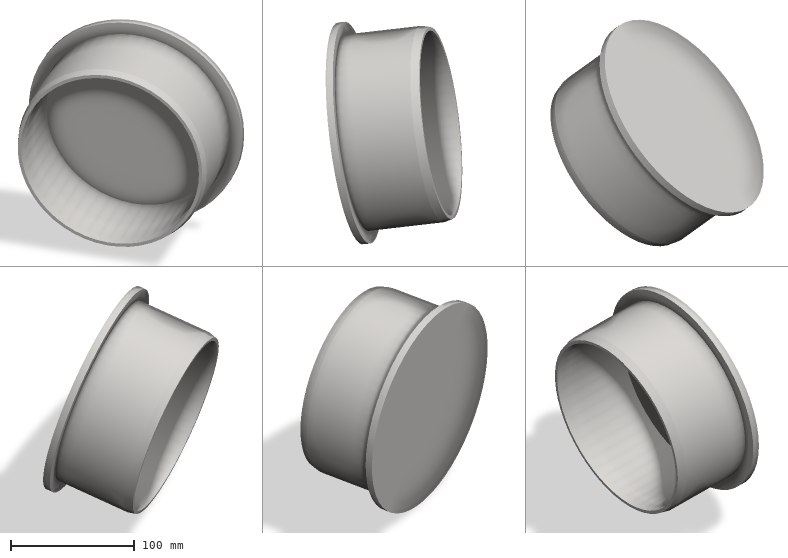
import cadquery as cq

flange_diameter = 180.6
flange_thickness = 6.0
total_length = 75.0

spigot_diameter = 160.0
bore_diameter = 150.8
floor_thickness = flange_thickness

taper_length = 7.0
taper_depth = 1.8


def disc(diameter, length, start=0.0):
    """Cylinder along -Y, beginning at a distance from the closed face."""
    plane = cq.Workplane("XZ").workplane(offset=start)
    return plane.circle(diameter / 2).extrude(length)


def tapered_spigot():
    """Solid spigot with a shallow cone at its open end."""
    spigot = disc(spigot_diameter, total_length)
    return spigot.faces("<Y").chamfer(taper_length, taper_depth)


flange = disc(flange_diameter, flange_thickness)
bore = disc(bore_diameter, total_length - floor_thickness, floor_thickness)

result = flange.union(tapered_spigot()).cut(bore)